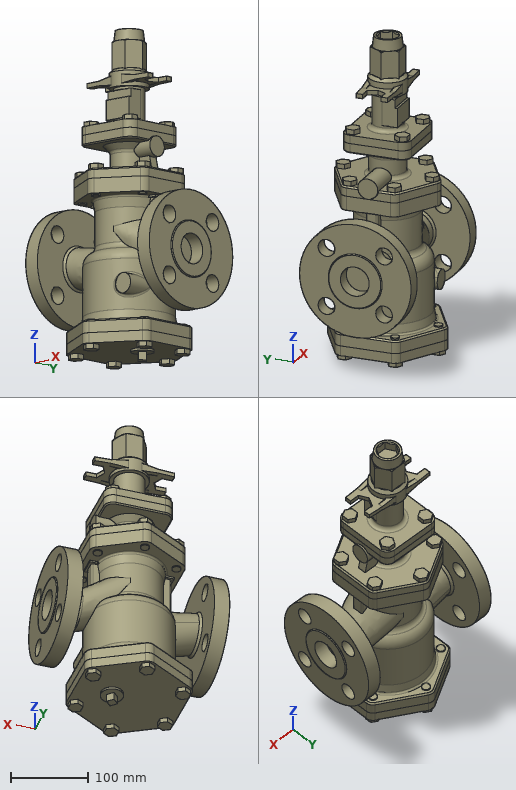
import cadquery as cq
import math

Z_COVER_BOTTOM = 14.0
Z_COVER_TOP = 27.5
Z_BASE_FLANGE_TOP = 45.0
Z_HEAD_FLANGE_BOTTOM = 213.0
Z_HEAD_SPLIT = 232.5
Z_HEAD_TOP = 246.0
Z_CAP_FLANGE_BOTTOM = 285.0
Z_CAP_SPLIT = 298.5
Z_CAP_FLANGE_TOP = 310.0
Z_TOP = 437.0

BASE_APOTHEM = 73.5
HEAD_APOTHEM = 65.0
HEX_CORNER_RADIUS = 12.0
HEX_RIM = 2.0
BASE_BOLT_RADIUS = 71.0
HEAD_BOLT_RADIUS = 62.0

CAP_SIDE = 93.5
CAP_CORNER_RADIUS = 13.0
CAP_BOLT_OFFSET = 34.5
CAP_RIM = 1.7

BOLT_FLATS = 17.5
BOLT_HEAD_HEIGHT = 6.5
SHANK_DIAMETER = 12.0
SHANK_TIP = 1.7

LOWER_RADIUS = 120.0 / 2
UPPER_RADIUS = 89.0 / 2
BASE_FLARE = 2.0
FOOT_FILLET = 2.5
BASE_FLARE_Z = 59.0
SHOULDER_BOTTOM_Z = 126.5
SHOULDER_TOP_Z = 151.0
SHOULDER_CONVEX_SHARE = 0.65
TOP_FLARE = 2.0
TOP_FLARE_Z = 197.0

PORT_Z = 135.5
FLANGE_DIAMETER = 156.0
FLANGE_INNER_X = 89.5
FLANGE_OUTER_X = 110.5
FACE_DIAMETER = 75.0
FACE_X = 112.1
FACE_CHAMFER = 1.5
FLANGE_HOLE_DIAMETER = 23.0
FLANGE_HOLE_OFFSET = 40.0
BORE_DIAMETER = 40.0
BORE_DEPTH = 20.0
PIPE_RADIUS = 28.0
COLLAR_RADIUS = 30.5
COLLAR_LENGTH = 3.5
INLET_END_X = 39.5
INLET_END_Z = 124.0
INLET_END_HEIGHT = 64.0
OUTLET_BEND_X = 73.0
OUTLET_END_X = 13.0
OUTLET_END_Z = 169.0
OUTLET_END_WIDTH = 85.5
OUTLET_END_HEIGHT = 70.0

PASSAGE_X = 54.5
PASSAGE_WIDTH = 16.5
PASSAGE_BOTTOM_Z = 144.0
PASSAGE_CORNER = 2.0
PASSAGE_LIP = 3.0
PASSAGE_LIP_HEIGHT = 2.5
SENSOR_BOSS_DIAMETER = 27.0
SENSOR_BOSS_X = 43.3
SENSOR_BOSS_Z = 91.8
SENSOR_BOSS_Y = 57.0
SENSOR_FILLET = 3.5

PLUG_X = 23.5
PLUG_DIAMETER = 30.0
PLUG_COLLAR = 3.0
PLUG_SQUARE = 11.0

NECK_RADIUS = 49.5 / 2
NECK_FILLET = 5.5
NECK_FLARE_Z = 273.0
NECK_CONE_Z = 277.5
NECK_CONE_BOTTOM_RADIUS = 26.2
NECK_CONE_RADIUS = 33.5
LEFT_BOSS_DIAMETER = 28.0
LEFT_BOSS_X = 68.0
LEFT_BOSS_Z = 247.8
RIGHT_BOSS_DIAMETER = 27.0
RIGHT_BOSS_X = 50.0
RIGHT_BOSS_Z = 279.0
WEB_WIDTH = 12.2
WEB_TOP_X = 42.0
WEB_TOP_Z = 267.5
WEB_FOOT_X = 46.8

STEM_RADIUS = 41.0 / 2
STEM_FOOT_FILLET = 6.0
PAD_WIDTH = 41.0
PAD_Y = 22.0
PAD_BOTTOM_Z = 319.0
PAD_STEP_Z = 345.5
PAD_STEP_Y = 18.5
PAD_TOP_Z = 357.0
HUB_RADIUS = 52.0 / 2
HUB_BOTTOM_Z = 360.5
HUB_TOP_Z = 380.5
HUB_CHAMFER = 4.5
CAP_FLATS = 40.5
CAP_HEX_TOP_Z = 422.0
CAP_HEX_CHAMFER = 1.7
CONE_BOTTOM_RADIUS = 40.0 / 2
CONE_TOP_RADIUS = 36.5 / 2
SOCKET_FLATS = 26.5
SOCKET_DEPTH = 13.0
SOCKET_RIM_DIAMETER = 30.0
SOCKET_RIM_DEPTH = 1.7
LEVER_END_X = 54.5
LEVER_END_Y = 22.0
LEVER_MID_X = 7.0
LEVER_MID_Y = 24.5
LEVER_BOTTOM_Z = 366.0
LEVER_TOP_Z = 372.5
NOTCH_WIDTH = 25.5
NOTCH_SIDE_X = 40.0
NOTCH_TIP_X = 33.5
RIB_INNER_Y = 16.5
RIB_END_X = 32.5
RIB_BOTTOM_Z = 363.5
RIB_TOP_Z = 376.3


def cylinder_z(radius, z_bottom, z_top, x=0.0, y=0.0):
    return cq.Workplane("XY", origin=(x, y, z_bottom)).circle(radius).extrude(z_top - z_bottom)


def cylinder_x(radius, x_start, x_end, z):
    return cq.Workplane("YZ", origin=(x_start, 0, z)).circle(radius).extrude(x_end - x_start)


def hexagon(flats, z_bottom, z_top):
    """Hexagonal prism on the main axis with two corners along X."""
    corner_diameter = flats / math.cos(math.pi / 6)
    return cq.Workplane("XY", origin=(0, 0, z_bottom)).polygon(6, corner_diameter).extrude(z_top - z_bottom)


def hex_flange(apothem, z_bottom, z_top):
    """Hexagonal flange with rounded corners, two of them along Y."""
    flange = hexagon(2 * apothem, z_bottom, z_top).rotate((0, 0, 0), (0, 0, 1), 90)
    return flange.edges("|Z").fillet(HEX_CORNER_RADIUS)


def square_flange(z_bottom, z_top):
    flange = cq.Workplane("XY", origin=(0, 0, z_bottom)).rect(CAP_SIDE, CAP_SIDE).extrude(z_top - z_bottom)
    return flange.edges("|Z").fillet(CAP_CORNER_RADIUS)


def around_axis(feature, count, start_angle=0.0):
    """Copies of a feature evenly turned about the main axis."""
    copies = cq.Workplane("XY")
    for index in range(count):
        angle = start_angle + index * 360.0 / count
        copies = copies.add(feature.rotate((0, 0, 0), (0, 0, 1), angle))
    return copies


def bolt_heads(count, start_angle, radius, z_bottom, turn):
    head = hexagon(BOLT_FLATS, z_bottom, z_bottom + BOLT_HEAD_HEIGHT).rotate((0, 0, 0), (0, 0, 1), turn)
    return around_axis(head.translate((radius, 0, 0)), count, start_angle)


def bolt_shanks(radius, z_bottom, z_top):
    """Six bolt shanks, two of them on the Y axis."""
    return around_axis(cylinder_z(SHANK_DIAMETER / 2, z_bottom, z_top, radius), 6, 30)


def join(base, copies):
    for copy in copies.vals():
        base = base.union(copy)
    return base


def subtract(base, copies):
    for copy in copies.vals():
        base = base.cut(copy)
    return base


base_shanks = bolt_shanks(BASE_BOLT_RADIUS, Z_COVER_BOTTOM, Z_BASE_FLANGE_TOP + SHANK_TIP)
head_shanks = bolt_shanks(HEAD_BOLT_RADIUS, Z_HEAD_FLANGE_BOTTOM - SHANK_TIP, Z_HEAD_TOP)


def make_bottom_cover():
    """Hexagonal cover plate with its six bolts and the square-headed drain plug."""
    cover = hex_flange(BASE_APOTHEM, Z_COVER_BOTTOM, Z_COVER_TOP)
    heads = bolt_heads(6, 30, BASE_BOLT_RADIUS, Z_COVER_BOTTOM - BOLT_HEAD_HEIGHT, 0)
    cover = join(join(cover, heads), base_shanks)
    collar = cylinder_z(PLUG_DIAMETER / 2, Z_COVER_BOTTOM - PLUG_COLLAR, Z_COVER_BOTTOM, PLUG_X)
    square = cq.Workplane("XY").rect(PLUG_SQUARE, PLUG_SQUARE).extrude(Z_COVER_BOTTOM)
    square = square.rotate((0, 0, 0), (0, 0, 1), 45).translate((PLUG_X, 0, 0))
    return cover.union(collar).union(square)


def make_barrel():
    """Turned barrel: flared foot, S-shaped shoulder and flared top."""
    turn_radius = LOWER_RADIUS + SHOULDER_CONVEX_SHARE * (UPPER_RADIUS - LOWER_RADIUS)
    turn_z = SHOULDER_BOTTOM_Z + SHOULDER_CONVEX_SHARE * (SHOULDER_TOP_Z - SHOULDER_BOTTOM_Z)
    foot_radius = LOWER_RADIUS + BASE_FLARE
    top_radius = UPPER_RADIUS + TOP_FLARE
    return (
        cq.Workplane("XZ")
        .moveTo(0, Z_BASE_FLANGE_TOP)
        .lineTo(foot_radius + FOOT_FILLET, Z_BASE_FLANGE_TOP)
        .radiusArc((foot_radius, Z_BASE_FLANGE_TOP + FOOT_FILLET), FOOT_FILLET)
        .lineTo(LOWER_RADIUS, BASE_FLARE_Z)
        .lineTo(LOWER_RADIUS, SHOULDER_BOTTOM_Z)
        .tangentArcPoint((turn_radius, turn_z), relative=False)
        .tangentArcPoint((UPPER_RADIUS, SHOULDER_TOP_Z), relative=False)
        .lineTo(UPPER_RADIUS, TOP_FLARE_Z)
        .lineTo(top_radius, Z_HEAD_FLANGE_BOTTOM - FOOT_FILLET)
        .radiusArc((top_radius + FOOT_FILLET, Z_HEAD_FLANGE_BOTTOM), FOOT_FILLET)
        .lineTo(0, Z_HEAD_FLANGE_BOTTOM)
        .close()
        .revolve(360, (0, 0, 0), (0, 1, 0))
    )


def make_pipe_flange():
    """Outlet flange with raised face and flared pipe collar, on the +X side."""
    flange = cylinder_x(FLANGE_DIAMETER / 2, FLANGE_INNER_X, FLANGE_OUTER_X, PORT_Z)
    face = cylinder_x(FACE_DIAMETER / 2, FLANGE_OUTER_X, FACE_X, PORT_Z).faces(">X").chamfer(FACE_CHAMFER)
    collar = (
        cq.Workplane("YZ", origin=(FLANGE_INNER_X, 0, PORT_Z))
        .circle(COLLAR_RADIUS)
        .workplane(offset=-COLLAR_LENGTH)
        .circle(PIPE_RADIUS)
        .loft()
    )
    holes = (
        cq.Workplane("YZ", origin=(FLANGE_INNER_X, 0, PORT_Z))
        .rect(2 * FLANGE_HOLE_OFFSET, 2 * FLANGE_HOLE_OFFSET, forConstruction=True)
        .vertices()
        .circle(FLANGE_HOLE_DIAMETER / 2)
        .extrude(FLANGE_OUTER_X - FLANGE_INNER_X)
    )
    return flange.cut(holes).union(face).union(collar)


def make_inlet_pipe():
    """Pipe on the -X side that deepens downwards as it meets the barrel."""
    start_x = FLANGE_INNER_X - COLLAR_LENGTH
    return (
        cq.Workplane("YZ", origin=(-start_x, 0, PORT_Z))
        .circle(PIPE_RADIUS)
        .workplane(offset=start_x - INLET_END_X)
        .center(0, INLET_END_Z - PORT_Z)
        .ellipse(PIPE_RADIUS, INLET_END_HEIGHT / 2)
        .loft()
    )


def make_outlet_pipe():
    """Pipe on the +X side: level at the flange, then rising and widening into the barrel."""
    level_part = cylinder_x(PIPE_RADIUS, OUTLET_BEND_X, FLANGE_INNER_X, PORT_Z)
    rising_part = (
        cq.Workplane("YZ", origin=(OUTLET_BEND_X, 0, PORT_Z))
        .circle(PIPE_RADIUS)
        .workplane(offset=OUTLET_END_X - OUTLET_BEND_X)
        .center(0, OUTLET_END_Z - PORT_Z)
        .ellipse(OUTLET_END_WIDTH / 2, OUTLET_END_HEIGHT / 2)
        .loft()
    )
    return level_part.union(rising_part)


def make_side_passage():
    """Vertical passage wall on the +X side, with a lip under the head flange."""
    wall = (
        cq.Workplane("XY", origin=(PASSAGE_X / 2, 0, PASSAGE_BOTTOM_Z))
        .rect(PASSAGE_X, PASSAGE_WIDTH)
        .extrude(Z_HEAD_FLANGE_BOTTOM - PASSAGE_BOTTOM_Z)
        .edges("|Z and >X")
        .fillet(PASSAGE_CORNER)
    )
    lip_x = PASSAGE_X + PASSAGE_LIP
    lip = (
        cq.Workplane("XY", origin=(lip_x / 2, 0, Z_HEAD_FLANGE_BOTTOM - PASSAGE_LIP_HEIGHT))
        .rect(lip_x, PASSAGE_WIDTH + 2 * PASSAGE_LIP)
        .extrude(PASSAGE_LIP_HEIGHT)
    )
    return wall.union(lip)


def make_valve_body():
    base_flange = hex_flange(BASE_APOTHEM, Z_COVER_TOP, Z_BASE_FLANGE_TOP).faces(">Z").chamfer(HEX_RIM)
    head_flange = hex_flange(HEAD_APOTHEM, Z_HEAD_FLANGE_BOTTOM, Z_HEAD_SPLIT)
    barrel = make_barrel()
    boss = (
        cq.Workplane("XZ", origin=(SENSOR_BOSS_X, 0, SENSOR_BOSS_Z))
        .circle(SENSOR_BOSS_DIAMETER / 2)
        .extrude(SENSOR_BOSS_Y)
    )
    barrel = barrel.union(boss)
    boss_foot = cq.selectors.BoxSelector(
        (SENSOR_BOSS_X - SENSOR_BOSS_DIAMETER, -SENSOR_BOSS_Y + 0.5, SENSOR_BOSS_Z - SENSOR_BOSS_DIAMETER),
        (SENSOR_BOSS_X + SENSOR_BOSS_DIAMETER, 0, SENSOR_BOSS_Z + SENSOR_BOSS_DIAMETER),
        boundingbox=True,
    )
    barrel = barrel.edges(boss_foot).fillet(SENSOR_FILLET)
    body = barrel.union(base_flange).union(head_flange)

    outlet_flange = make_pipe_flange()
    side_passage = make_side_passage()
    bore = cylinder_x(BORE_DIAMETER / 2, FACE_X - BORE_DEPTH, FACE_X, PORT_Z)
    body = body.union(make_inlet_pipe()).union(make_outlet_pipe())
    body = body.union(outlet_flange).union(outlet_flange.mirror("YZ"))
    body = body.union(side_passage).union(side_passage.mirror("YZ"))
    body = body.cut(bore).cut(bore.mirror("YZ"))
    return subtract(subtract(body, base_shanks), head_shanks)


def make_neck():
    """Turned neck with a filleted foot and a conical flare under the square flange."""
    return (
        cq.Workplane("XZ")
        .moveTo(0, Z_HEAD_TOP)
        .lineTo(NECK_RADIUS + NECK_FILLET, Z_HEAD_TOP)
        .radiusArc((NECK_RADIUS, Z_HEAD_TOP + NECK_FILLET), NECK_FILLET)
        .lineTo(NECK_RADIUS, NECK_FLARE_Z)
        .tangentArcPoint((NECK_CONE_BOTTOM_RADIUS, NECK_CONE_Z), relative=False)
        .lineTo(NECK_CONE_RADIUS, Z_CAP_FLANGE_BOTTOM)
        .lineTo(0, Z_CAP_FLANGE_BOTTOM)
        .close()
        .revolve(360, (0, 0, 0), (0, 1, 0))
    )


def make_web():
    """Sloping web that carries the right-hand boss."""
    return (
        cq.Workplane("XZ", origin=(0, WEB_WIDTH / 2, 0))
        .moveTo(0, Z_HEAD_TOP)
        .lineTo(WEB_FOOT_X, Z_HEAD_TOP)
        .lineTo(WEB_TOP_X, WEB_TOP_Z)
        .lineTo(0, WEB_TOP_Z)
        .close()
        .extrude(WEB_WIDTH)
    )


def make_pilot_head():
    """Head flange with its six bolts, neck, two side bosses and the square flange."""
    head = hex_flange(HEAD_APOTHEM, Z_HEAD_SPLIT, Z_HEAD_TOP).faces(">Z").chamfer(HEX_RIM)
    upper_flange = square_flange(Z_CAP_FLANGE_BOTTOM, Z_CAP_SPLIT).faces("<Z").chamfer(CAP_RIM)
    left_boss = cylinder_x(LEFT_BOSS_DIAMETER / 2, -LEFT_BOSS_X, 0, LEFT_BOSS_Z)
    right_boss = cylinder_x(RIGHT_BOSS_DIAMETER / 2, 0, RIGHT_BOSS_X, RIGHT_BOSS_Z)
    head = head.union(make_neck()).union(upper_flange)
    head = head.union(left_boss).union(right_boss).union(make_web())
    head = join(head, bolt_heads(6, 30, HEAD_BOLT_RADIUS, Z_HEAD_TOP, 0))
    return join(head, head_shanks)


def make_stem():
    """Round stem with a stepped flat pad on its -Y side."""
    stem = (
        cq.Workplane("XZ")
        .moveTo(0, Z_CAP_FLANGE_TOP)
        .lineTo(STEM_RADIUS + STEM_FOOT_FILLET, Z_CAP_FLANGE_TOP)
        .radiusArc((STEM_RADIUS, Z_CAP_FLANGE_TOP + STEM_FOOT_FILLET), STEM_FOOT_FILLET)
        .lineTo(STEM_RADIUS, HUB_BOTTOM_Z)
        .lineTo(0, HUB_BOTTOM_Z)
        .close()
        .revolve(360, (0, 0, 0), (0, 1, 0))
    )
    pad = (
        cq.Workplane("YZ", origin=(-PAD_WIDTH / 2, 0, 0))
        .moveTo(0, PAD_BOTTOM_Z)
        .lineTo(-PAD_Y, PAD_BOTTOM_Z)
        .lineTo(-PAD_Y, PAD_STEP_Z)
        .lineTo(-PAD_STEP_Y, PAD_STEP_Z)
        .lineTo(-PAD_STEP_Y, PAD_TOP_Z)
        .lineTo(0, PAD_TOP_Z)
        .close()
        .extrude(PAD_WIDTH)
    )
    step = (
        cq.Workplane("XY", origin=(0, -PAD_STEP_Y - PAD_Y / 2, PAD_STEP_Z))
        .rect(PAD_WIDTH, PAD_Y)
        .extrude(PAD_TOP_Z - PAD_STEP_Z)
    )
    return stem.union(pad).cut(step)


def make_lever_rib():
    """Tapered stiffening rib along the -Y edge of the right lever arm."""
    return (
        cq.Workplane("XZ", origin=(0, -RIB_INNER_Y, 0))
        .moveTo(0, RIB_BOTTOM_Z)
        .lineTo(LEVER_MID_X, RIB_BOTTOM_Z)
        .lineTo(RIB_END_X, LEVER_BOTTOM_Z)
        .lineTo(RIB_END_X, LEVER_TOP_Z)
        .lineTo(LEVER_MID_X, RIB_TOP_Z)
        .lineTo(0, RIB_TOP_Z)
        .close()
        .extrude(LEVER_MID_Y - RIB_INNER_Y)
    )


def make_lever():
    """Two-armed lever with an open notch in each end and ribbed edges."""
    outline = [
        (LEVER_END_X, LEVER_END_Y),
        (LEVER_MID_X, LEVER_MID_Y),
        (-LEVER_MID_X, LEVER_MID_Y),
        (-LEVER_END_X, LEVER_END_Y),
        (-LEVER_END_X, -LEVER_END_Y),
        (-LEVER_MID_X, -LEVER_MID_Y),
        (LEVER_MID_X, -LEVER_MID_Y),
        (LEVER_END_X, -LEVER_END_Y),
    ]
    notch_outline = [
        (LEVER_END_X, NOTCH_WIDTH / 2),
        (NOTCH_SIDE_X, NOTCH_WIDTH / 2),
        (NOTCH_TIP_X, 0),
        (NOTCH_SIDE_X, -NOTCH_WIDTH / 2),
        (LEVER_END_X, -NOTCH_WIDTH / 2),
    ]
    envelope = cq.Workplane("XY", origin=(0, 0, RIB_BOTTOM_Z)).polyline(outline).close()
    envelope = envelope.extrude(RIB_TOP_Z - RIB_BOTTOM_Z)
    plate_plane = cq.Workplane("XY", origin=(0, 0, LEVER_BOTTOM_Z))
    thickness = LEVER_TOP_Z - LEVER_BOTTOM_Z
    lever = plate_plane.polyline(outline).close().extrude(thickness)
    notch = plate_plane.polyline(notch_outline).close().extrude(thickness)
    lever = lever.cut(notch).cut(notch.mirror("YZ"))

    rib = make_lever_rib().intersect(envelope)
    rib_pair = rib.union(rib.mirror("YZ"))
    return lever.union(rib_pair).union(rib_pair.mirror("XZ"))


def make_cap():
    """Hub collar, hexagonal cap and tapered tip with a hexagonal socket."""
    hub = cylinder_z(HUB_RADIUS, HUB_BOTTOM_Z, HUB_TOP_Z + HUB_CHAMFER).faces(">Z").chamfer(HUB_CHAMFER)
    corner_radius = CAP_FLATS / 2 / math.cos(math.pi / 6)
    rounding = cylinder_z(corner_radius, HUB_BOTTOM_Z, CAP_HEX_TOP_Z).faces(">Z").chamfer(CAP_HEX_CHAMFER)
    hex_cap = hexagon(CAP_FLATS, HUB_BOTTOM_Z, CAP_HEX_TOP_Z).intersect(rounding)
    tip = (
        cq.Workplane("XY", origin=(0, 0, CAP_HEX_TOP_Z))
        .circle(CONE_BOTTOM_RADIUS)
        .workplane(offset=Z_TOP - CAP_HEX_TOP_Z)
        .circle(CONE_TOP_RADIUS)
        .loft()
    )
    socket = hexagon(SOCKET_FLATS, Z_TOP - SOCKET_DEPTH, Z_TOP)
    rim = (
        cq.Workplane("XY", origin=(0, 0, Z_TOP))
        .circle(SOCKET_RIM_DIAMETER / 2)
        .workplane(offset=-SOCKET_RIM_DEPTH)
        .circle(SOCKET_FLATS / 2)
        .loft()
    )
    return hub.union(hex_cap).union(tip).cut(socket).cut(rim)


def make_spring_housing():
    """Square flange with its four bolts, stem, adjusting lever and cap."""
    housing = square_flange(Z_CAP_SPLIT, Z_CAP_FLANGE_TOP)
    housing = housing.union(make_stem()).union(make_cap()).union(make_lever())
    bolt_radius = CAP_BOLT_OFFSET * math.sqrt(2)
    return join(housing, bolt_heads(4, 45, bolt_radius, Z_CAP_FLANGE_TOP, -45))


bottom_cover = make_bottom_cover()
valve_body = make_valve_body()
pilot_head = make_pilot_head()
spring_housing = make_spring_housing()

result = cq.Compound.makeCompound(
    [bottom_cover.val(), valve_body.val(), pilot_head.val(), spring_housing.val()]
)